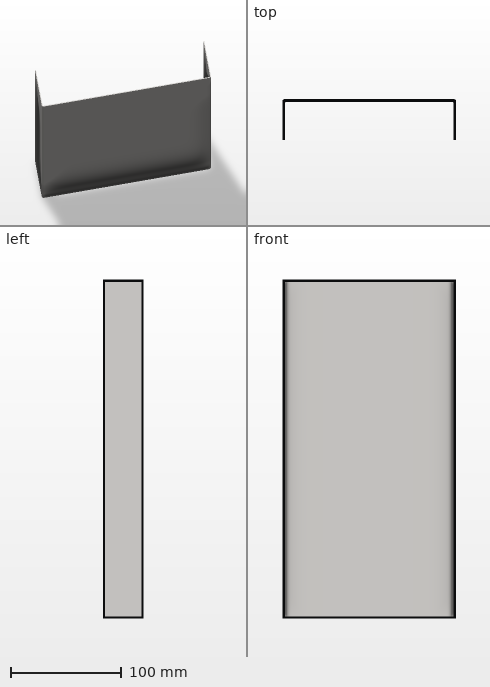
import cadquery as cq

width = 155.0
depth = 35.0
height = 304.0

thickness = 0.75
outer_bend_radius = 1.6
inner_bend_radius = outer_bend_radius - thickness


def upright_block(block_width, block_depth, bend_radius):
    """Full-height block, open face on Y = 0, with its two rear edges rounded."""
    block = cq.Workplane("XY").box(block_width, block_depth, height, centered=(True, False, True))
    return block.faces(">Y").edges("|Z").fillet(bend_radius)


outer_block = upright_block(width, depth, outer_bend_radius)
inner_block = upright_block(width - 2 * thickness, depth - thickness, inner_bend_radius)
result = outer_block.cut(inner_block)